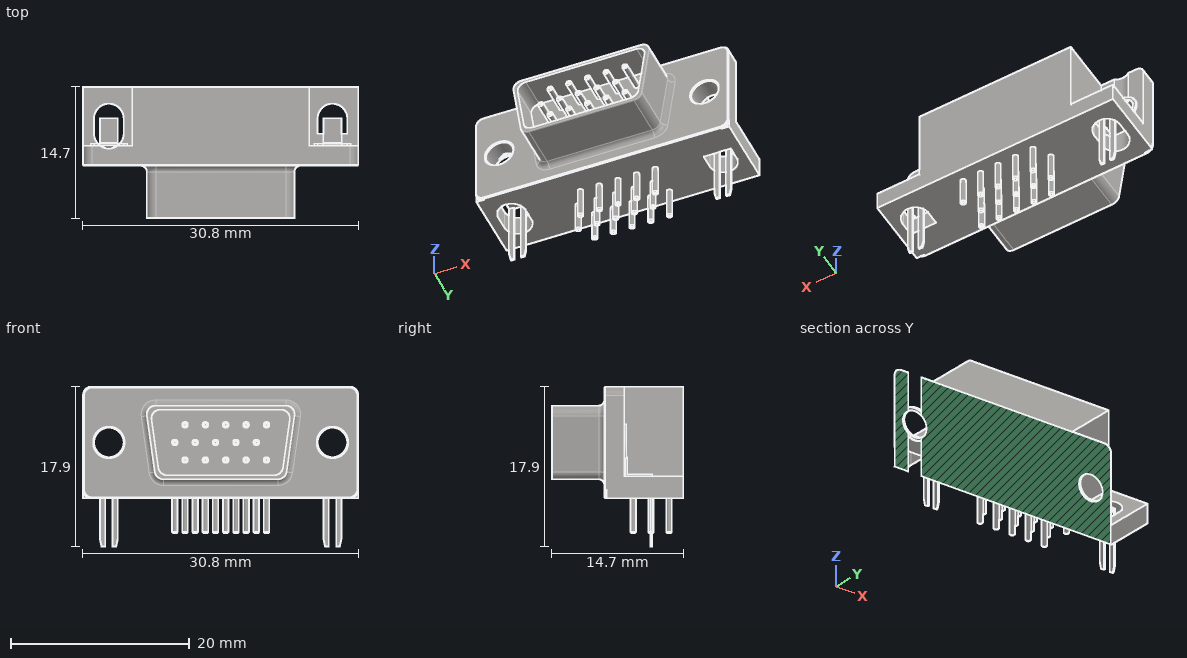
import cadquery as cq
import math


WIDTH = 30.8
HEIGHT = 12.5
DEPTH = 8.85
BODY_WIDTH = 19.77
BASE_HEIGHT = 2.5
FLANGE_DEPTH = 2.25
CORNER_RADIUS = 1.0
MID_Z = HEIGHT / 2

PLATE_THICKNESS = 0.28
PLATE_EDGE = 0.12

HOLE_X = 12.5
HOLE_DIAMETER = 3.3
SLOT_WIDTH = HOLE_DIAMETER
SLOT_REAR_Y = 5.3
SLOT_FRONT_Y = 3.6

SHELL_LENGTH = 5.85
SHELL_HEIGHT = 8.25
SHELL_MID_WIDTH = 15.68
SHELL_SLOPE = 8.0
SHELL_RADIUS = 1.0
SHELL_WALL = 0.45
SHELL_ROOT_FILLET = 0.65
SHELL_RIM_FILLET = 0.045
CAVITY_FLOOR = 2.0

PIN_DIAMETER = 0.65
PIN_PITCH = 2.28
PIN_ROW_SPACING = 1.97
PINS_PER_ROW = 5
PIN_REACH = 5.57
PIN_TIP = 0.15
PIN_EMBED = 0.3
TAIL_LENGTH = 3.9
TAIL_MID_Y = 5.25
TAIL_ROW_SPACING = 2.0

SHEET = 0.22
WASHER_DIAMETER = 4.1
STRAP_WIDTH = 2.03
STRAP_STANDOFF = 0.12
PRONG_WIDTH = 0.62
PRONG_LENGTH = 5.4
PRONG_TAPER_LENGTH = 0.85
PRONG_TAPER = 0.2


def box(width, y_front, y_rear, z_low, z_high, x_mid=0.0):
    """Block centred on x_mid between the given Y and Z limits."""
    size_y = y_rear - y_front
    size_z = z_high - z_low
    return (
        cq.Workplane("XY")
        .box(width, size_y, size_z, centered=(True, False, False))
        .translate((x_mid, y_front, z_low))
    )


def rod(diameter, x, z, y_front, y_rear):
    """Cylinder along Y."""
    return (
        cq.Workplane("XZ", origin=(x, y_rear, z))
        .circle(diameter / 2)
        .extrude(y_rear - y_front)
    )


def housing():
    flange = box(WIDTH, PLATE_THICKNESS, FLANGE_DEPTH, 0, HEIGHT)
    flange = flange.edges("|Y and >Z").fillet(CORNER_RADIUS)
    base = box(WIDTH, PLATE_THICKNESS, DEPTH, 0, BASE_HEIGHT)
    body = box(BODY_WIDTH, PLATE_THICKNESS, DEPTH, 0, HEIGHT)
    return flange.union(base).union(body)


def face_plate():
    plate = box(WIDTH, 0, PLATE_THICKNESS, 0, HEIGHT)
    plate = plate.edges("|Y").fillet(CORNER_RADIUS)
    return plate.faces("<Y").edges().chamfer(PLATE_EDGE)


def slot(x, height):
    """Round-ended slot along Y, cut upward from the housing bottom."""
    middle = (SLOT_REAR_Y + SLOT_FRONT_Y) / 2
    length = SLOT_REAR_Y - SLOT_FRONT_Y + SLOT_WIDTH
    return (
        cq.Workplane("XY", origin=(x, middle, 0))
        .slot2D(length, SLOT_WIDTH, 90)
        .extrude(height)
    )


def screw_hole(x):
    """Through hole whose mouth is chamfered like the plate edge."""
    mouth = (
        cq.Workplane("XZ", origin=(x, 0, MID_Z))
        .circle(HOLE_DIAMETER / 2 + PLATE_EDGE)
        .extrude(-PLATE_EDGE, taper=45)
    )
    return mouth.union(rod(HOLE_DIAMETER, x, MID_Z, 0, DEPTH))


def trapezoid(inset, y_front, y_rear):
    """Rounded shell outline, moved inward by inset and extruded along Y."""
    slope = math.radians(SHELL_SLOPE)
    half_height = SHELL_HEIGHT / 2 - inset
    half_mid = SHELL_MID_WIDTH / 2 - inset / math.cos(slope)
    lean = half_height * math.tan(slope)
    top = half_mid + lean
    bottom = half_mid - lean
    outline = [(-bottom, -half_height), (bottom, -half_height), (top, half_height), (-top, half_height)]
    prism = (
        cq.Workplane("XZ", origin=(0, y_rear, MID_Z))
        .polyline(outline)
        .close()
        .extrude(y_rear - y_front)
    )
    return prism.edges("|Y").fillet(SHELL_RADIUS)


def contact(x, row):
    """Straight pin in the plug and its tail below the housing; row is -1, 0 or 1 from the bottom."""
    pin = rod(PIN_DIAMETER, x, MID_Z + row * PIN_ROW_SPACING, -PIN_REACH, PIN_EMBED - CAVITY_FLOOR)
    pin = pin.faces("<Y").chamfer(PIN_TIP)
    tail = (
        cq.Workplane("XY", origin=(x, TAIL_MID_Y + row * TAIL_ROW_SPACING, -TAIL_LENGTH))
        .circle(PIN_DIAMETER / 2)
        .extrude(TAIL_LENGTH + PIN_EMBED)
    )
    tail = tail.faces("<Z").chamfer(PIN_TIP)
    return pin.union(tail)


def prong(x, side):
    """Flat leg of a bracket, tapered at its tip on the outer side."""
    outer = x + side * STRAP_WIDTH / 2
    inner = outer - side * PRONG_WIDTH
    taper_z = PRONG_TAPER_LENGTH - PRONG_LENGTH
    outline = [
        (inner, BASE_HEIGHT + SHEET),
        (inner, -PRONG_LENGTH),
        (outer - side * PRONG_TAPER, -PRONG_LENGTH),
        (outer, taper_z),
        (outer, BASE_HEIGHT + SHEET),
    ]
    return (
        cq.Workplane("XZ", origin=(0, TAIL_MID_Y + SHEET / 2, 0))
        .polyline(outline)
        .close()
        .extrude(SHEET)
    )


def bracket(x):
    """Washer behind the flange, bent strap and two prongs."""
    washer = rod(WASHER_DIAMETER, x, MID_Z, FLANGE_DEPTH, FLANGE_DEPTH + SHEET)
    strap_y = FLANGE_DEPTH + STRAP_STANDOFF
    strap_top = MID_Z - HOLE_DIAMETER / 2
    upright = box(STRAP_WIDTH, strap_y, strap_y + SHEET, BASE_HEIGHT, strap_top, x)
    shelf = box(STRAP_WIDTH, strap_y, TAIL_MID_Y + SHEET / 2, BASE_HEIGHT, BASE_HEIGHT + SHEET, x)
    return washer.union(upright).union(shelf).union(prong(x, -1)).union(prong(x, 1))


part = housing()
part = part.cut(slot(-HOLE_X, HEIGHT))
flat_slot = slot(HOLE_X, BASE_HEIGHT).intersect(box(SLOT_WIDTH, SLOT_FRONT_Y, DEPTH, 0, HEIGHT, HOLE_X))
part = part.cut(flat_slot)

plug = trapezoid(0, -SHELL_LENGTH, 0)
plug = plug.faces("<Y").edges().fillet(SHELL_RIM_FILLET)
root = cq.selectors.BoxSelector(
    (-BODY_WIDTH / 2, -PLATE_EDGE / 2, CORNER_RADIUS),
    (BODY_WIDTH / 2, PLATE_EDGE / 2, HEIGHT - CORNER_RADIUS),
)
plated_plug = face_plate().union(plug).edges(root).fillet(SHELL_ROOT_FILLET)
part = part.union(plated_plug)
part = part.cut(trapezoid(SHELL_WALL, -SHELL_LENGTH, -CAVITY_FLOOR))

for hole_x in (-HOLE_X, HOLE_X):
    part = part.union(bracket(hole_x))
    part = part.cut(screw_hole(hole_x))

for row in (-1, 0, 1):
    row_shift = -PIN_PITCH / 4 if row == 0 else PIN_PITCH / 4
    for index in range(PINS_PER_ROW):
        pin_x = (index - (PINS_PER_ROW - 1) / 2) * PIN_PITCH + row_shift
        part = part.union(contact(pin_x, row))

result = part